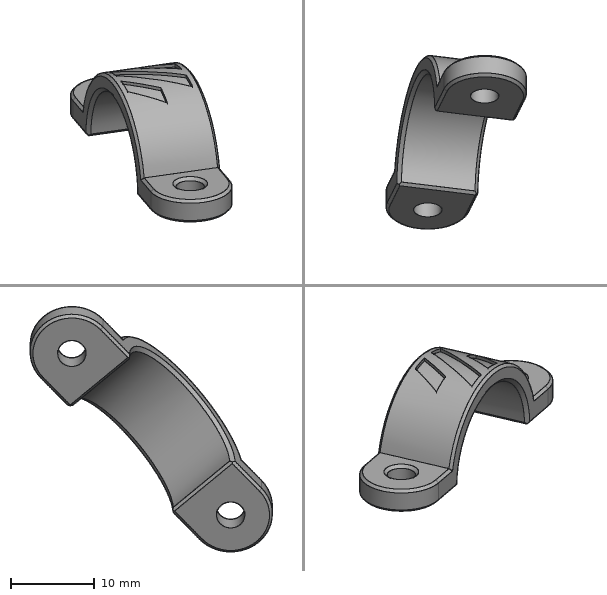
import cadquery as cq

length = 38.48
width = 10.0
outer_radius = 11.25
bore_radius = 9.0
flange_thickness = 2.95
edge_chamfer = 0.35
bore_chamfer = 0.45

hole_diameter = 3.4
hole_chamfer = 0.4
hole_offset = (length - width) / 2

pocket_depth = 0.4
pocket_width = 2.4
pocket_reach = 4.0
pocket_inner_edge = 0.15
pocket_lean = 0.61
pocket_spacing = 4.15

half_width = width / 2


def cylinder_along_y(radius, span):
    """Cylinder on the Y axis, centred on the origin."""
    return cq.Workplane("XZ").circle(radius).extrude(span / 2, both=True)


def make_flanges():
    """Round-ended plate with chamfered top and bottom rims."""
    plate = cq.Workplane("XY").slot2D(length, width).extrude(flange_thickness)
    return plate.faces("<Z or >Z").chamfer(edge_chamfer)


def make_arch():
    """Chamfered cylinder kept above the flange's bottom chamfer."""
    drum = cylinder_along_y(outer_radius, width).edges().chamfer(edge_chamfer)
    keep = cq.Workplane("XY").workplane(offset=edge_chamfer)
    keep = keep.rect(2 * outer_radius, width).extrude(outer_radius)
    return drum.intersect(keep)


def make_bore():
    """Bore with flared ends and a bevel where it opens at the base."""
    flare_radius = bore_radius + bore_chamfer
    profile = [
        (0, -half_width),
        (flare_radius, -half_width),
        (bore_radius, bore_chamfer - half_width),
        (bore_radius, half_width - bore_chamfer),
        (flare_radius, half_width),
        (0, half_width),
    ]
    bore = cq.Workplane("XY").polyline(profile).close().revolve(360, (0, 0), (0, 1))
    bevel_edge = bore_radius + edge_chamfer
    bevel = (
        cq.Workplane("XZ")
        .polyline([
            (-bevel_edge, 0),
            (bevel_edge, 0),
            (bore_radius, edge_chamfer),
            (-bore_radius, edge_chamfer),
        ])
        .close()
        .extrude(half_width, both=True)
    )
    return bore.union(bevel)


def make_screw_hole(x):
    """Through hole with a countersunk rim on the flange's top face."""
    radius = hole_diameter / 2
    profile = [
        (0, 0),
        (radius, 0),
        (radius, flange_thickness - hole_chamfer),
        (radius + hole_chamfer, flange_thickness),
        (0, flange_thickness),
    ]
    hole = cq.Workplane("XZ").polyline(profile).close().revolve(360, (0, 0), (0, 1))
    return hole.translate((x, 0, 0))


def make_pocket(x, y_low, y_high):
    """Slanted pocket whose floor follows the arch; x is its middle at y = 0."""
    left = x - pocket_width / 2
    right = x + pocket_width / 2
    outline = [
        (left + pocket_lean * y_low, y_low),
        (right + pocket_lean * y_low, y_low),
        (right + pocket_lean * y_high, y_high),
        (left + pocket_lean * y_high, y_high),
    ]
    prism = cq.Workplane("XY").polyline(outline).close().extrude(outer_radius)
    return prism.cut(cylinder_along_y(outer_radius - pocket_depth, width))


result = make_flanges().union(make_arch()).cut(make_bore())

for hole_x in (-hole_offset, hole_offset):
    result = result.cut(make_screw_hole(hole_x))

pockets = [
    (-pocket_spacing, -pocket_inner_edge, pocket_reach),
    (0, -pocket_reach, pocket_reach),
    (pocket_spacing, -pocket_reach, pocket_inner_edge),
]
for pocket_x, pocket_low, pocket_high in pockets:
    result = result.cut(make_pocket(pocket_x, pocket_low, pocket_high))